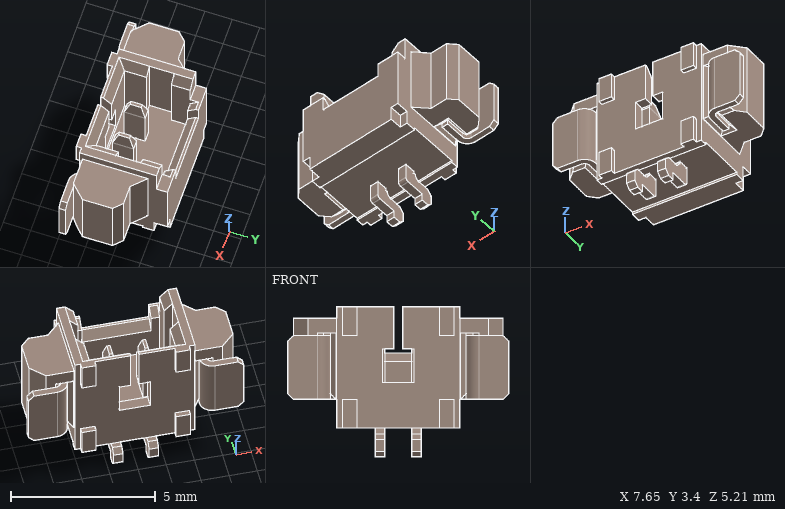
import cadquery as cq
import math


housing_width = 4.27
housing_depth = 3.205
housing_height = 4.21
rear_wall_thickness = 0.4
rear_wall_height = 3.205
rear_gap_width = 2.46
rear_gap_floor = 2.6

cavity_width = 3.06
cavity_front = 0.405
cavity_back = housing_depth - rear_wall_thickness
cavity_floor = 1.25
rim_chamfer = 0.3
side_recess_front = 1.22
side_recess_back = 2.12
side_recess_width = cavity_width + 2 * rim_chamfer

key_slot_width = 0.3
window_width = 1.095
window_bottom = 1.58
window_top = 2.74

pad_width = 0.51
pad_height = 0.995
pad_thickness = 0.19
mount_plane = -pad_thickness
pad_center_x = 1.675
relief_front = 0.3
relief_back = 2.3
relief_height = 0.09
notch_length = 0.49
notch_height = 0.6
notch_depth = 0.3

wing_half_span = 3.625
wing_bottom = 0.995
wing_top = 3.8
wing_front = 0.11
wing_rear = 2.005
wing_root_rear = 2.495
wing_rear_chamfer = 0.305
wing_front_chamfer = 0.5
wing_edge_chamfer = 0.175

nail_thickness = 0.245
nail_inner_radius = 0.21
nail_outer_radius = nail_inner_radius + nail_thickness
nail_outer_x = 3.825
nail_leg_inner_x = 2.35
nail_leg_end_y = 1.07
nail_bottom = wing_bottom
nail_top = 3.205
nail_chamfer = 0.2

slot_top = 3.3
slot_flare = 0.2
slot_lead_in = 0.2

pin_pitch = 1.26
pin_width = 0.34
pin_front = 0.75
pin_shaft_back = 1.18
pin_blade_back = 1.52
pin_blade_top = 3.47
pin_taper_height = 0.5
pin_tip_width = 0.115
pin_taper_inset = 0.18
pin_step = 0.08
pin_bend_radius = 0.21
pin_heel_radius = 0.12
foot_top = -pin_bend_radius
foot_underside = -0.69
foot_bottom = -0.995
foot_heel_y = 0.3
foot_chamfer = 0.19

half_width = housing_width / 2
nail_leg_outer_x = nail_leg_inner_x + nail_thickness
nail_bend_x = nail_leg_inner_x + nail_outer_radius


def box(x0, x1, y0, y1, z0, z1):
    """Axis-aligned box between two corner points."""
    return cq.Workplane("XY").box(x1 - x0, y1 - y0, z1 - z0, centered=False).translate((x0, y0, z0))


def centered_box(width, y0, y1, z0, z1):
    """Box that is symmetric about the YZ plane."""
    return box(-width / 2, width / 2, y0, y1, z0, z1)


def rim_cut(width, y0, y1, rim_height):
    """Wedge that bevels the cavity rim, growing by rim_chamfer on every side towards the rim."""
    return (
        cq.Workplane("XY", origin=(0, (y0 + y1) / 2, rim_height - rim_chamfer))
        .rect(width, y1 - y0)
        .workplane(offset=rim_chamfer)
        .rect(width + 2 * rim_chamfer, y1 - y0 + 2 * rim_chamfer)
        .loft(ruled=True)
    )


def rear_rim_cut(width, rim_height):
    """Triangular prism that bevels the inner rim of the rear wall."""
    return (
        cq.Workplane("YZ", origin=(-width / 2, 0, 0))
        .moveTo(cavity_back, rim_height - rim_chamfer)
        .lineTo(cavity_back + rim_chamfer, rim_height)
        .lineTo(cavity_back, rim_height)
        .close()
        .extrude(width)
    )


def make_wing():
    """Side wing at +X, with the bevelled lower front edge outside the nail slot."""
    wing = (
        cq.Workplane("XY", origin=(0, 0, wing_bottom))
        .moveTo(half_width, wing_front)
        .lineTo(wing_half_span - wing_front_chamfer, wing_front)
        .lineTo(wing_half_span, wing_front + wing_front_chamfer)
        .lineTo(wing_half_span, wing_rear - wing_rear_chamfer)
        .lineTo(wing_half_span - wing_rear_chamfer, wing_rear)
        .lineTo(half_width + wing_root_rear - wing_rear, wing_rear)
        .lineTo(half_width, wing_root_rear)
        .close()
        .extrude(wing_top - wing_bottom)
    )
    edge_cut = (
        cq.Workplane("YZ", origin=(nail_leg_outer_x, 0, 0))
        .moveTo(wing_front, wing_bottom)
        .lineTo(wing_front + wing_edge_chamfer, wing_bottom)
        .lineTo(wing_front, wing_bottom + wing_edge_chamfer)
        .close()
        .extrude(wing_half_span - nail_leg_outer_x)
    )
    return wing.cut(edge_cut)


def make_nail_slot():
    """Slot at +X for the nail leg: flared at the front, with a lead-in at its open lower end."""
    slot = (
        cq.Workplane("XY", origin=(0, 0, wing_bottom))
        .moveTo(nail_leg_inner_x - slot_flare, wing_front)
        .lineTo(nail_leg_inner_x, wing_front + slot_flare)
        .lineTo(nail_leg_inner_x, nail_leg_end_y)
        .lineTo(nail_leg_outer_x, nail_leg_end_y)
        .lineTo(nail_leg_outer_x, wing_front + slot_flare)
        .lineTo(nail_leg_outer_x + slot_flare, wing_front)
        .close()
        .extrude(slot_top - wing_bottom)
    )
    slot_length = nail_leg_end_y - wing_front
    slot_center = ((nail_leg_inner_x + nail_leg_outer_x) / 2, wing_front + slot_length / 2)
    lead_in = (
        cq.Workplane("XY", origin=(*slot_center, wing_bottom))
        .rect(nail_thickness + 2 * slot_lead_in, slot_length + 2 * slot_lead_in)
        .workplane(offset=slot_lead_in)
        .rect(nail_thickness, slot_length)
        .loft(ruled=True)
    )
    behind_wing_front = box(half_width, wing_half_span, wing_front, housing_depth, 0, housing_height)
    return slot.union(lead_in.intersect(behind_wing_front))


def make_pin():
    """Pin centred on the YZ plane: tapered blade, shaft and a foot bent to the front."""
    bend_start_y = pin_front - pin_step
    bend_center_y = bend_start_y - pin_bend_radius
    bend_reach = pin_bend_radius * math.sqrt(0.5)
    leg = (
        cq.Workplane("YZ", origin=(-pin_width / 2, 0, 0))
        .moveTo(pin_front, cavity_floor)
        .lineTo(pin_front, 0)
        .lineTo(bend_start_y, 0)
        .threePointArc(
            (bend_center_y + bend_reach, -bend_reach),
            (bend_center_y, foot_top),
        )
        .lineTo(mount_plane + foot_chamfer, foot_top)
        .lineTo(mount_plane, foot_top - foot_chamfer)
        .lineTo(mount_plane, foot_bottom + foot_chamfer)
        .lineTo(mount_plane + foot_chamfer, foot_bottom)
        .lineTo(foot_heel_y, foot_bottom)
        .lineTo(foot_heel_y, foot_underside)
        .lineTo(pin_shaft_back, foot_underside)
        .lineTo(pin_shaft_back, cavity_floor)
        .close()
        .extrude(pin_width)
        .edges(cq.selectors.NearestToPointSelector((0, pin_shaft_back, foot_underside)))
        .fillet(pin_heel_radius)
    )
    shoulder = pin_blade_top - pin_taper_height
    blade_depth = pin_blade_back - pin_front
    blade = centered_box(pin_width, pin_front, pin_blade_back, cavity_floor, shoulder)
    tip = (
        cq.Workplane("XY", origin=(0, pin_front + blade_depth / 2, shoulder))
        .rect(pin_width, blade_depth)
        .workplane(offset=pin_taper_height)
        .rect(pin_tip_width, blade_depth - 2 * pin_taper_inset)
        .loft(ruled=True)
    )
    return leg.union(blade).union(tip)


def make_nail():
    """L-bent solder nail at +X: flat pad in front of the wing and a leg inside the wing slot."""
    bend_center_y = mount_plane + nail_outer_radius
    outer_reach = nail_outer_radius * math.sqrt(0.5)
    inner_reach = nail_inner_radius * math.sqrt(0.5)
    return (
        cq.Workplane("XY", origin=(0, 0, nail_bottom))
        .moveTo(nail_outer_x, mount_plane)
        .lineTo(nail_bend_x, mount_plane)
        .threePointArc(
            (nail_bend_x - outer_reach, bend_center_y - outer_reach),
            (nail_leg_inner_x, bend_center_y),
        )
        .lineTo(nail_leg_inner_x, nail_leg_end_y)
        .lineTo(nail_leg_outer_x, nail_leg_end_y)
        .lineTo(nail_leg_outer_x, bend_center_y)
        .threePointArc(
            (nail_bend_x - inner_reach, bend_center_y - inner_reach),
            (nail_bend_x, mount_plane + nail_thickness),
        )
        .lineTo(nail_outer_x, mount_plane + nail_thickness)
        .close()
        .extrude(nail_top - nail_bottom)
        .edges("|Y and >X")
        .chamfer(nail_chamfer)
    )


def make_housing(pins):
    """Housing with its wings, pads and nail slots, and a matching hole for every pin."""
    body = centered_box(housing_width, 0, housing_depth, 0, housing_height)

    body = body.cut(centered_box(housing_width, cavity_back, housing_depth, rear_wall_height, housing_height))
    body = body.cut(centered_box(rear_gap_width, cavity_back, housing_depth, rear_gap_floor, housing_height))

    body = body.cut(centered_box(cavity_width, cavity_front, cavity_back, cavity_floor, housing_height))
    front_part = centered_box(housing_width, 0, cavity_back, 0, housing_height)
    body = body.cut(rim_cut(cavity_width, cavity_front, cavity_back, housing_height).intersect(front_part))
    body = body.cut(rear_rim_cut(cavity_width, rear_wall_height))
    body = body.cut(rear_rim_cut(rear_gap_width, rear_gap_floor))
    body = body.cut(
        centered_box(side_recess_width, side_recess_front, side_recess_back, cavity_floor, housing_height)
    )

    body = body.cut(centered_box(key_slot_width, 0, cavity_front, window_bottom, housing_height))
    body = body.cut(centered_box(window_width, 0, cavity_front, window_bottom, window_top))

    body = body.cut(centered_box(housing_width, relief_front, relief_back, 0, relief_height))

    for side in (-1, 1):
        for pad_bottom in (0, housing_height - pad_height):
            pad = centered_box(pad_width, mount_plane, 0, pad_bottom, pad_bottom + pad_height)
            body = body.union(pad.translate((side * pad_center_x, 0, 0)))

    wing = make_wing().cut(make_nail_slot())
    notch = box(
        half_width - notch_depth, half_width, housing_depth - notch_length, housing_depth, 0, notch_height
    )
    for side_wing, side_notch in ((wing, notch), (wing.mirror("YZ"), notch.mirror("YZ"))):
        body = body.union(side_wing).cut(side_notch)

    for pin in pins:
        body = body.cut(pin)
    return body


pins = [make_pin().translate((side * pin_pitch / 2, 0, 0)) for side in (-1, 1)]
nails = [make_nail(), make_nail().mirror("YZ")]
housing = make_housing(pins)

result = cq.Compound.makeCompound([body.solids().val() for body in (housing, *pins, *nails)])